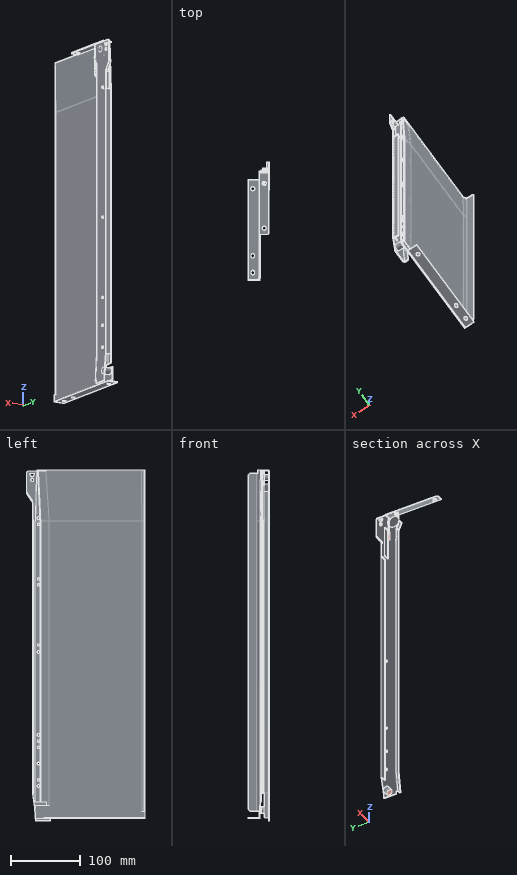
import cadquery as cq
import math

total_depth = 30.39
total_width = 169.5
total_height = 502.0
sheet = 1.5

panel_face = 15.2
panel_bottom = 3.0
panel_rear = 157.0
bend_radius = 4.4
front_flange_bottom = 13.6
front_flange_top = 497.4
front_flange_chamfer = 3.0
kink_height = 429.0
lean = 0.8

jog_bottom = 22.0
jog_start = 137.0
jog_end = 149.0
jog_depth = 2.0
step_width = 1.2
step_depth = 0.7
jog_start_top = 142.0
jog_end_top = 152.5
panel_rear_top = 154.5
notch_front = 141.0
notch_top = 27.0

bottom_flange_rear = 144.5
bottom_hole_x = 6.7
bottom_round_hole_y = 131.5
bottom_round_hole_diameter = 5.4
bottom_slot_ys = (11.5, 35.5)
bottom_slot_length = 6.0
bottom_slot_width = 4.6

top_flange_front = 65.8
top_flange_rear = 154.0
top_flange_tip = 29.7
top_flange_chamfer = 1.8
top_hole_x = 23.0
top_hole_ys = (75.0, 139.0)
top_hole_diameter = 5.4

strip_hole_y = 152.4
strip_hole_diameter = 3.4
through_hole_zs = (49.6, 82.0, 123.0, 241.6, 433.0)
panel_only_hole_zs = (58.5, 105.0, 114.0, 251.5, 337.5, 346.0, 424.0)

web_face = total_depth - sheet
rail_front = 134.7
rail_front_low = 131.7
rail_rear = 160.8
rail_wall_tip = 22.9
rear_wall_tip = 20.9
upper_wall_tip = 20.3
upper_wall_rear = 155.9
front_wall_bottom = 4.0
front_wall_bend_height = 40.0
front_wall_flare_start = 471.0
front_wall_top = 482.0
flare = 5.0
tip_chamfer = 1.5
rail_bend_radius = 2.0
rear_wall_bottom = 39.0
rear_wall_step = 430.0
rear_wall_top = 480.0

tab_front = 135.5
tab_rear = 156.5
tab_top = 7.5

hook_top = 500.4
hook_slope_top = 468.0
hook_slope_bottom = 455.0
hook_corner = 2.0
hook_lip_tip = 26.3
hook_hole_y = 161.5
hook_hole_z = 487.5
hook_hole_diameter = 4.0
hook_slot_top = 496.5
hook_slot_bottom = 492.5
hook_slot_width = 6.5
hook_slot_base = 2.5

stud_y = 145.0
stud_z = 491.0
stud_head_diameter = 18.0
stud_head_start = 20.9
stud_head_thickness = 2.5
stud_shank_diameter = 9.0
pin_y = 153.0
pin_z = 15.5
pin_diameter = 10.0
pin_start = 18.6


def x_cylinder(y, z, diameter, x_start, x_end):
    """Cylinder along X between two X positions."""
    plane = cq.Workplane("YZ", origin=(x_start, y, z))
    return plane.circle(diameter / 2).extrude(x_end - x_start)


def panel_section(z, shift, slope_start, slope_end, rear):
    """Closed wire of the panel's bent section at height z: front flange, flat face, slope, hole strip."""
    face = panel_face + shift
    outer_radius = bend_radius + shift
    inner_radius = outer_radius - sheet
    center_x = face + sheet - outer_radius
    diagonal = math.sqrt(0.5)
    slope_x = face + jog_depth
    strip_x = panel_face + jog_depth + step_depth + shift
    strip_start = slope_end + step_width
    section = (
        cq.Workplane("XY", origin=(0, 0, z))
        .moveTo(0, 0)
        .lineTo(center_x, 0)
        .threePointArc(
            (center_x + outer_radius * diagonal, outer_radius * (1 - diagonal)),
            (face + sheet, outer_radius),
        )
        .lineTo(face + sheet, slope_start)
        .lineTo(slope_x + sheet, slope_end)
        .lineTo(strip_x + sheet, strip_start)
        .lineTo(strip_x + sheet, rear)
        .lineTo(strip_x, rear)
        .lineTo(strip_x, strip_start)
        .lineTo(slope_x, slope_end)
        .lineTo(face, slope_start)
        .lineTo(face, outer_radius)
        .threePointArc(
            (center_x + inner_radius * diagonal, outer_radius - inner_radius * diagonal),
            (center_x, sheet),
        )
        .lineTo(0, sheet)
        .close()
    )
    return section.val()


def box(x0, x1, y0, y1, z0, z1):
    """Box between two opposite corners."""
    return cq.Workplane("XY").box(x1 - x0, y1 - y0, z1 - z0, centered=False).translate((x0, y0, z0))


def panel_sheet():
    """The bent sheet: straight up to the kink, leaning above it, flat below the jog."""
    low = panel_section(front_flange_bottom, 0, jog_start, jog_end, panel_rear)
    kink = panel_section(kink_height, 0, jog_start, jog_end, panel_rear)
    top = panel_section(total_height, lean, jog_start_top, jog_end_top, panel_rear_top)
    straight = cq.Solid.makeLoft([low, kink], True)
    leaning = cq.Solid.makeLoft([kink, top], True)
    jog_foot = box(0, web_face, jog_start, panel_rear, front_flange_bottom, jog_bottom)
    notch = box(0, web_face, notch_front, panel_rear, jog_bottom, notch_top)
    back = panel_face + sheet
    lower_edge = box(panel_face, back, 0, panel_rear, panel_bottom, front_flange_bottom)
    rear_corner = box(panel_face, back, jog_start, panel_rear, front_flange_bottom, jog_bottom)
    body = cq.Workplane(straight).cut(jog_foot).cut(notch)
    return body.union(cq.Workplane(leaning)).union(lower_edge).union(rear_corner)


def front_flange_trim():
    """Material removed above the front flange and at its two free corners."""
    trim = box(0, panel_face - sheet, 0, bend_radius, front_flange_top, total_height)
    c = front_flange_chamfer
    corners = (
        cq.Workplane("XZ")
        .polyline([(0, front_flange_bottom), (c, front_flange_bottom), (0, front_flange_bottom + c)])
        .close()
        .polyline([(0, front_flange_top), (c, front_flange_top), (0, front_flange_top - c)])
        .close()
        .extrude(-bend_radius)
    )
    return trim.union(corners)


def bottom_flange():
    """Flange at the lower edge, with one round hole and two slots."""
    flange = box(0, panel_face + sheet, 0, bottom_flange_rear, panel_bottom, panel_bottom + sheet)
    holes = (
        cq.Workplane("XY", origin=(0, 0, panel_bottom))
        .pushPoints([(bottom_hole_x, y) for y in bottom_slot_ys])
        .slot2D(bottom_slot_length, bottom_slot_width, 90)
        .extrude(sheet)
    )
    round_hole = (
        cq.Workplane("XY", origin=(bottom_hole_x, bottom_round_hole_y, panel_bottom))
        .circle(bottom_round_hole_diameter / 2)
        .extrude(sheet)
    )
    return flange.cut(holes).cut(round_hole)


def top_flange():
    """Flange at the upper edge, pointing inwards, with two round holes."""
    start = panel_face + lean
    flange = box(start, top_flange_tip, top_flange_front, top_flange_rear, total_height - sheet, total_height)
    flange = flange.edges("|Z and >X and <Y").chamfer(top_flange_chamfer)
    holes = (
        cq.Workplane("XY", origin=(0, 0, total_height - sheet))
        .pushPoints([(top_hole_x, y) for y in top_hole_ys])
        .circle(top_hole_diameter / 2)
        .extrude(sheet)
    )
    return flange.cut(holes)


def make_panel():
    body = panel_sheet().cut(front_flange_trim()).union(bottom_flange()).union(top_flange())
    for z in through_hole_zs + panel_only_hole_zs:
        body = body.cut(x_cylinder(strip_hole_y, z, strip_hole_diameter, panel_face, rear_wall_tip))
    return body


def rail_web():
    """Flat back of the rail with the hook plate at its top and the tab at its foot."""
    outline = [
        (tab_front, 0),
        (tab_rear, 0),
        (tab_rear, tab_top),
        (rail_rear, rear_wall_bottom),
        (rail_rear, hook_slope_bottom),
        (total_width, hook_slope_top),
        (total_width, hook_top - hook_corner),
        (total_width - hook_corner, hook_top),
        (rail_front_low, hook_top),
        (rail_front_low, hook_slope_bottom),
        (rail_front, hook_slope_bottom - rail_front + rail_front_low),
        (rail_front, front_wall_bend_height),
        (rail_front_low, front_wall_bottom),
        (tab_front, front_wall_bottom),
    ]
    return cq.Workplane("YZ", origin=(web_face, 0, 0)).polyline(outline).close().extrude(sheet)


def front_wall():
    """Front wall of the rail: it flares forwards at the top and leans forwards at the foot."""
    outer = [
        (rail_front_low, front_wall_bottom),
        (rail_front, front_wall_bend_height),
        (rail_front, front_wall_flare_start),
        (rail_front - flare, front_wall_top),
    ]
    inner = [(y + sheet, z) for y, z in reversed(outer)]
    wall = (
        cq.Workplane("YZ", origin=(rail_wall_tip, 0, 0))
        .polyline(outer + inner)
        .close()
        .extrude(total_depth - rail_wall_tip)
    )
    corner = (
        cq.Workplane("XZ", origin=(0, rail_front_low, 0))
        .polyline(
            [
                (rail_wall_tip, front_wall_bottom),
                (rail_wall_tip + tip_chamfer, front_wall_bottom),
                (rail_wall_tip, front_wall_bottom + tip_chamfer),
            ]
        )
        .close()
        .extrude(rail_front_low - rail_front - sheet)
    )
    return wall.cut(corner)


def hook_lip():
    """Lip bent out along the sloping lower edge of the hook plate."""
    run = total_width - rail_rear
    rise = hook_slope_top - hook_slope_bottom
    sheet_height = sheet * math.hypot(run, rise) / run
    outline = [
        (rail_rear, hook_slope_bottom),
        (total_width, hook_slope_top),
        (total_width, hook_slope_top + sheet_height),
        (rail_rear, hook_slope_bottom + sheet_height),
    ]
    lip = cq.Workplane("YZ", origin=(hook_lip_tip, 0, 0)).polyline(outline).close()
    return lip.extrude(total_depth - hook_lip_tip)


def rear_wall():
    """Rear wall of the rail, set further forward in its upper part."""
    lower = box(
        rear_wall_tip, total_depth, rail_rear - sheet, rail_rear, rear_wall_bottom, rear_wall_step
    )
    upper = box(
        upper_wall_tip, total_depth, upper_wall_rear - sheet, upper_wall_rear, rear_wall_step, rear_wall_top
    )
    return lower.union(upper)


def hook_openings():
    """Round hole and wedge-shaped slot in the hook plate."""
    wedge = (
        cq.Workplane("YZ", origin=(web_face, 0, 0))
        .polyline(
            [
                (hook_hole_y - hook_slot_width / 2, hook_slot_top),
                (hook_hole_y + hook_slot_width / 2, hook_slot_top),
                (hook_hole_y + hook_slot_base / 2, hook_slot_bottom),
                (hook_hole_y - hook_slot_base / 2, hook_slot_bottom),
            ]
        )
        .close()
        .extrude(sheet)
    )
    return wedge.union(x_cylinder(hook_hole_y, hook_hole_z, hook_hole_diameter, web_face, total_depth))


def stud_and_pin():
    """Headed stud at the top of the rail and plain pin at its foot."""
    head_end = stud_head_start + stud_head_thickness
    head = x_cylinder(stud_y, stud_z, stud_head_diameter, stud_head_start, head_end)
    shank = x_cylinder(stud_y, stud_z, stud_shank_diameter, head_end, web_face)
    pin = x_cylinder(pin_y, pin_z, pin_diameter, pin_start, web_face)
    return head.union(shank).union(pin)


def make_rail():
    body = rail_web().union(front_wall())
    bend_edge = cq.selectors.BoxSelector(
        (web_face, rail_front_low - sheet, front_wall_bottom),
        (total_depth + sheet, rail_front + sheet / 2, hook_slope_bottom - flare),
    )
    body = body.edges(bend_edge).edges("%LINE and >X").edges("not #Z").fillet(rail_bend_radius)
    body = body.union(rear_wall()).union(hook_lip()).union(stud_and_pin()).cut(hook_openings())
    for z in through_hole_zs:
        body = body.cut(x_cylinder(strip_hole_y, z, strip_hole_diameter, web_face, total_depth))
    return body


panel = make_panel()
rail = make_rail()
result = cq.Compound.makeCompound([panel.val(), rail.val()])